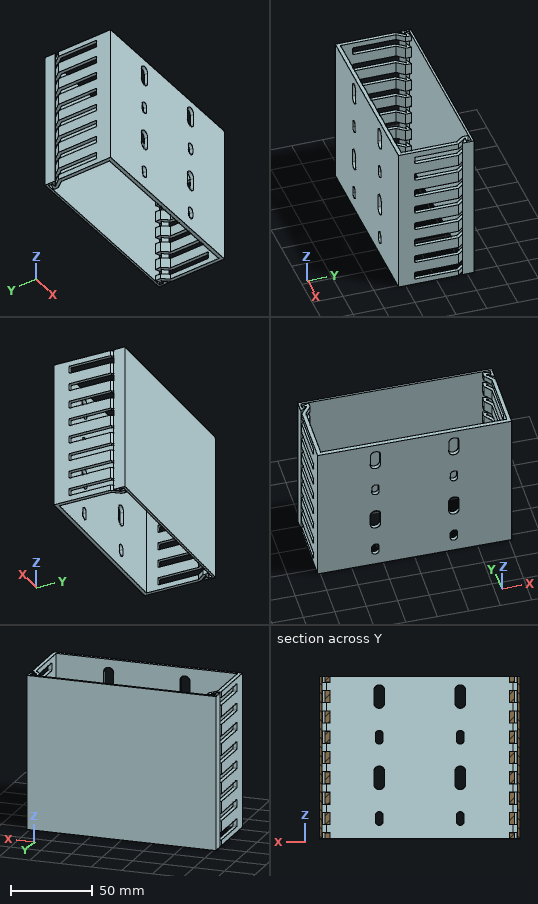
import cadquery as cq

width = 123.5
depth = 49.2
height = 100.0

half_width = width / 2
front_y = -depth / 2
back_y = depth / 2

wall = 2.6
crank_outer_y = back_y - 10.1
crank_inner_y = back_y - 10.5
finger_inner_inset = 6.5
finger_inner_y = back_y - 5.5
finger_tip_y = back_y - 1.9
barb_root_inset = 4.6
barb_tip_inset = 2.0
barb_seat_y = back_y - 4.6
barb_nose_y = back_y - 3.6

slot_count = 8
slot_pitch = height / slot_count
slot_height = 5.0
slot_end_y = front_y + 10.6
slot_corner_radius = 0.6

mount_x = 25.0
mount_row_pitch = height / 4
long_slot_length = 14.2
long_slot_width = 6.4
short_slot_length = 8.2
short_slot_width = 4.6

cover_thickness = 1.6
hook_root_inset = 4.3
hook_flat = 0.2
hook_lip_y = back_y - 7.8


def mirrored_outline(right_half):
    """Close a profile from its +X half, listed from one end of the profile to the other."""
    left_half = [(-x, y) for x, y in reversed(right_half)]
    return cq.Workplane("XY").polyline(right_half + left_half).close()


def duct_profile():
    right_half = [
        (half_width, front_y),
        (half_width, crank_outer_y),
        (half_width - barb_root_inset, barb_seat_y),
        (half_width - barb_tip_inset, barb_seat_y),
        (half_width - barb_tip_inset, barb_nose_y),
        (half_width - finger_inner_inset, finger_tip_y),
        (half_width - finger_inner_inset, finger_inner_y),
        (half_width - wall, crank_inner_y),
        (half_width - wall, front_y + wall),
    ]
    return mirrored_outline(right_half).extrude(height)


def side_slot(center_z):
    """Cutter through both side walls, running out past the finger ends."""
    slot_length = back_y - slot_end_y
    return (
        cq.Workplane("XY")
        .box(width, slot_length, slot_height)
        .edges("<Y and |X")
        .fillet(slot_corner_radius)
        .translate((0, slot_end_y + slot_length / 2, center_z))
    )


def mounting_slots(center_z, length, slot_width):
    """Pair of upright round-ended cutters through the front panel."""
    return (
        cq.Workplane("XZ", origin=(0, front_y + wall, center_z))
        .pushPoints([(-mount_x, 0), (mount_x, 0)])
        .slot2D(length, slot_width, 90)
        .extrude(wall)
    )


def make_duct():
    body = duct_profile()
    for index in range(slot_count):
        body = body.cut(side_slot((index + 0.5) * slot_pitch))
    for pair in range(2):
        short_row_z = (2 * pair + 0.5) * mount_row_pitch
        long_row_z = short_row_z + mount_row_pitch
        body = body.cut(mounting_slots(short_row_z, short_slot_length, short_slot_width))
        body = body.cut(mounting_slots(long_row_z, long_slot_length, long_slot_width))
    return body


def make_cover():
    right_half = [
        (half_width, back_y),
        (half_width, hook_lip_y),
        (half_width - hook_root_inset, barb_seat_y - hook_flat),
        (half_width - hook_root_inset, barb_seat_y),
        (half_width - cover_thickness, barb_seat_y),
        (half_width - cover_thickness, back_y - cover_thickness),
    ]
    return mirrored_outline(right_half).extrude(height)


duct = make_duct()
cover = make_cover()

result = cq.Compound.makeCompound([duct.solids().val(), cover.solids().val()])